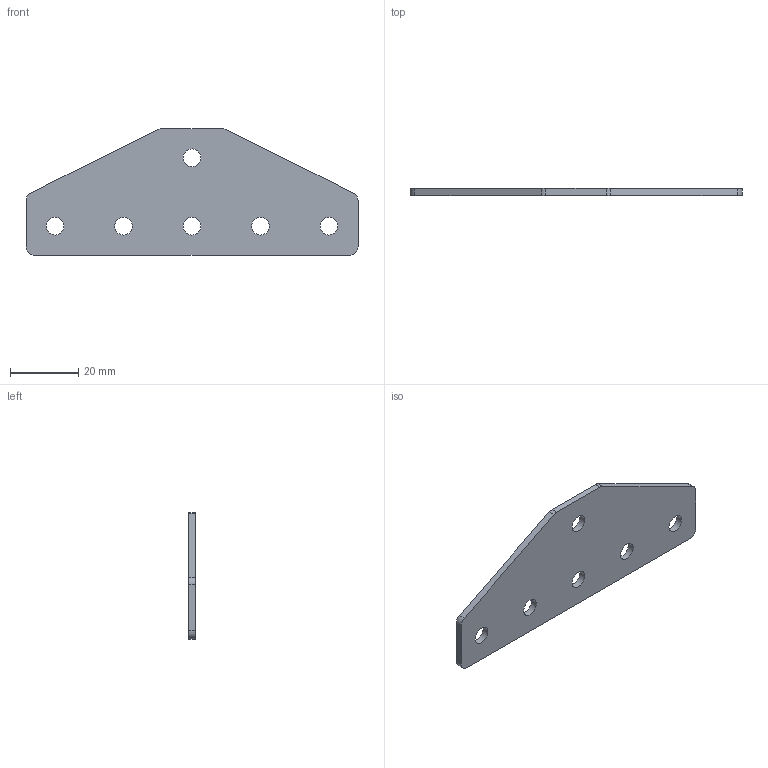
import cadquery as cq

length = 97.0
height = 37.0
thickness = 2.0
corner_radius = 2.5

top_edge_length = 19.0
side_edge_height = 17.5

hole_diameter = 5.2
hole_pitch = 20.0
row_hole_count = 5
edge_margin = (length - (row_hole_count - 1) * hole_pitch) / 2


def back_face_plane():
    """Plane of the +Y face, from which extrusions run toward -Y."""
    return cq.Workplane("XZ", origin=(0, thickness / 2, 0))


def make_blank():
    """Plate with sloped shoulders, centred on X and Y, standing on Z = 0."""
    outline = [
        (-length / 2, 0),
        (length / 2, 0),
        (length / 2, side_edge_height),
        (top_edge_length / 2, height),
        (-top_edge_length / 2, height),
        (-length / 2, side_edge_height),
    ]
    plate = back_face_plane().polyline(outline).close().extrude(thickness)
    return plate.edges("|Y").fillet(corner_radius)


def hole_centres():
    """Centres (x, z) of the bottom row and of the single upper hole."""
    first_x = -(row_hole_count - 1) * hole_pitch / 2
    row = [(first_x + i * hole_pitch, edge_margin) for i in range(row_hole_count)]
    upper = (0, edge_margin + hole_pitch)
    return row + [upper]


def make_hole_cutters():
    """Cylinders that pass through the full thickness."""
    return back_face_plane().pushPoints(hole_centres()).circle(hole_diameter / 2).extrude(thickness)


result = make_blank().cut(make_hole_cutters())